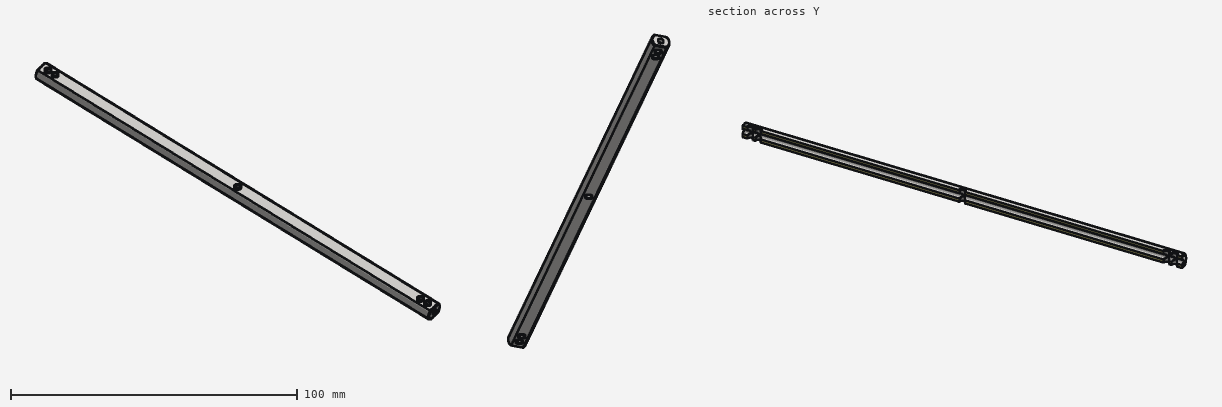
import cadquery as cq

length = 175.0
bar_diameter = 6.6
across_flats = 5.0

hole_diameter = 2.0

edge_chamfer = 0.3

end_hole_inset = 3.125
end_hole_pitch = 3.125


def make_bar():
    """Round bar trimmed to a flat top and bottom, with both end rims chamfered."""
    round_bar = cq.Workplane("YZ").circle(bar_diameter / 2).extrude(length / 2, both=True)
    flat_envelope = cq.Workplane("XY").box(length, bar_diameter, across_flats)
    flatted_bar = round_bar.intersect(flat_envelope)
    return flatted_bar.faces("<X or >X").chamfer(edge_chamfer)


def make_bore():
    """Cutter for the axial bore through both end faces."""
    return cq.Workplane("YZ").circle(hole_diameter / 2).extrude(length / 2, both=True)


def make_cross_hole(x):
    """Cutter for one through hole at x, chamfered where it meets each flat."""
    hole_radius = hole_diameter / 2
    mouth_radius = hole_radius + edge_chamfer
    half_height = across_flats / 2
    half_profile = (
        cq.Workplane("XZ")
        .moveTo(0, -half_height)
        .lineTo(mouth_radius, -half_height)
        .lineTo(hole_radius, -half_height + edge_chamfer)
        .lineTo(hole_radius, half_height - edge_chamfer)
        .lineTo(mouth_radius, half_height)
        .lineTo(0, half_height)
        .close()
    )
    return half_profile.revolve(360, (0, 0), (0, 1)).translate((x, 0, 0))


outer_hole_x = length / 2 - end_hole_inset
inner_hole_x = outer_hole_x - end_hole_pitch

result = make_bar().cut(make_bore())
for hole_x in (-outer_hole_x, -inner_hole_x, 0, inner_hole_x, outer_hole_x):
    result = result.cut(make_cross_hole(hole_x))